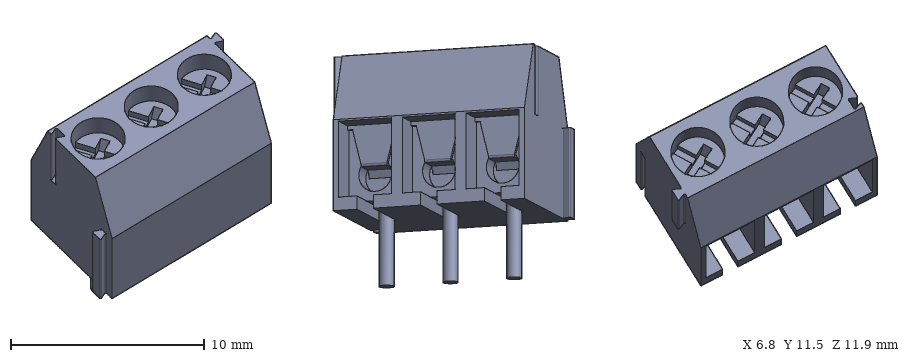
import cadquery as cq
import math


pole_count = 3
pitch = 3.5
body_depth = 6.8
body_length = pole_count * pitch
body_height = 8.4
shoulder_height = 4.8
roof_inset = 1.39

pin_diameter = 0.8
overall_height = 11.9
pin_length = overall_height - body_height
slot_width = 0.9
floor_thickness = 0.7

recess_width = 2.9
recess_depth = 1.6
recess_height = 4.0
wire_hole_diameter = 1.8
wire_hole_depth = 1.1
wire_hole_height = 2.1
leaf_width = 1.43
leaf_thickness = 0.2
leaf_shoulder_width = 2.36
leaf_shoulder_height = 4.49
leaf_lip_height = 0.13
leaf_lip_inset = 0.05
leaf_stop_angle = 25

well_diameter = 2.8
well_depth = 1.2
drive_width = 0.5
drive_depth = 0.4
drive_angle = 30
cross_length = 2.0
cross_end_run = 0.35
cross_depth = 0.6

dovetail_projection = 0.5
dovetail_neck = 0.3
dovetail_tip = 0.74
dovetail_root = 0.18
dovetail_radius = 0.06
dovetail_split_height = 4.74
upper_dovetail_x = -1.55
lower_dovetail_x = 2.7

half_depth = body_depth / 2
half_length = body_length / 2
entry_wall_x = recess_depth - half_depth
leaf_front_x = entry_wall_x - leaf_thickness
recess_top = floor_thickness + recess_height
well_floor_z = body_height - well_depth
pole_positions = [(i - (pole_count - 1) / 2) * pitch for i in range(pole_count)]


def box(x_min, x_max, width, z_min, z_max):
    """Block centred on Y = 0."""
    block = cq.Workplane("XY").box(x_max - x_min, width, z_max - z_min, centered=(False, True, False))
    return block.translate((x_min, 0, z_min))


def cylinder(diameter, z_min, z_max):
    return cq.Workplane("XY").workplane(offset=z_min).circle(diameter / 2).extrude(z_max - z_min)


def extrude_xz(points, width):
    """Prism with an XZ outline, centred on Y = 0."""
    return cq.Workplane("XZ").polyline(points).close().extrude(width / 2, both=True)


def make_housing():
    roof_half = half_depth - roof_inset
    outline = [
        (-half_depth, 0),
        (half_depth, 0),
        (half_depth, shoulder_height),
        (roof_half, body_height),
        (-roof_half, body_height),
        (-half_depth, shoulder_height),
    ]
    return extrude_xz(outline, body_length)


def make_wire_hole():
    """Round blind hole in the entry wall."""
    wall = cq.Workplane("YZ", origin=(entry_wall_x, 0, wire_hole_height))
    return wall.circle(wire_hole_diameter / 2).extrude(wire_hole_depth)


def make_leaf():
    """Leaf standing proud of the entry wall, with a rounded lip and a sloping stop inside the hole."""
    half_leaf = leaf_width / 2
    half_shoulder = leaf_shoulder_width / 2
    half_recess = recess_width / 2
    end_x = entry_wall_x + wire_hole_depth
    lip_top_z = wire_hole_height + math.sqrt((wire_hole_diameter / 2) ** 2 - half_leaf**2)
    lip_z = lip_top_z - leaf_lip_height
    lip_radius = (leaf_lip_height**2 + leaf_lip_inset**2) / (2 * leaf_lip_inset)
    stop_x = end_x - (lip_z - wire_hole_height) * math.tan(math.radians(leaf_stop_angle))
    profile = (
        cq.Workplane("XZ")
        .moveTo(leaf_front_x, recess_top)
        .lineTo(leaf_front_x, lip_top_z)
        .radiusArc((leaf_front_x + leaf_lip_inset, lip_z), -lip_radius)
        .lineTo(stop_x, lip_z)
        .lineTo(end_x, wire_hole_height)
        .lineTo(end_x, recess_top)
        .close()
        .extrude(half_recess, both=True)
    )
    right_side = [
        (half_leaf, wire_hole_height),
        (half_leaf, lip_top_z),
        (half_shoulder, leaf_shoulder_height),
        (half_recess, leaf_shoulder_height),
        (half_recess, recess_top),
    ]
    left_side = [(-y, z) for y, z in reversed(right_side)]
    front = cq.Workplane("YZ", origin=(leaf_front_x, 0, 0)).polyline(right_side + left_side).close()
    return profile.intersect(front.extrude(end_x - leaf_front_x))


def make_pin_slot():
    """Slot through the floor, open at the -X side and rounded around the pin."""
    straight = box(-half_depth, 0, slot_width, 0, floor_thickness)
    return straight.union(cylinder(slot_width, 0, floor_thickness))


def make_drive():
    """Full-width slot crossed by a shorter recess with sloping ends."""
    well = cylinder(well_diameter, well_floor_z - drive_depth, well_floor_z)
    slot = box(-well_diameter / 2, well_diameter / 2, drive_width, well_floor_z - drive_depth, well_floor_z)
    top_half = cross_length / 2
    bottom_half = top_half - cross_end_run
    cross_outline = [
        (-top_half, well_floor_z),
        (top_half, well_floor_z),
        (bottom_half, well_floor_z - cross_depth),
        (-bottom_half, well_floor_z - cross_depth),
    ]
    cross = extrude_xz(cross_outline, drive_width).rotate((0, 0, 0), (0, 0, 1), 90)
    return slot.intersect(well).union(cross).rotate((0, 0, 0), (0, 0, 1), drive_angle)


def make_pole_cavity():
    recess = box(-half_depth, entry_wall_x, recess_width, floor_thickness, recess_top)
    well = cylinder(well_diameter, well_floor_z, body_height)
    entry = recess.union(make_wire_hole()).cut(make_leaf())
    return entry.union(make_pin_slot()).union(well).union(make_drive())


def make_dovetail(x, z_min, z_max):
    """Bar with rounded corners that widens toward -Y from a neck on the plane Y = 0.

    A root block behind the neck gives the neck corners their rounding.
    """
    half_neck = dovetail_neck / 2
    half_tip = dovetail_tip / 2
    outline = [
        (-half_neck, 0),
        (-half_tip, -dovetail_projection),
        (half_tip, -dovetail_projection),
        (half_neck, 0),
        (half_tip, 0),
        (half_tip, dovetail_root),
        (-half_tip, dovetail_root),
        (-half_tip, 0),
    ]
    bar = cq.Workplane("XY").polyline(outline).close().extrude(z_max - z_min)
    return bar.edges("|Z").fillet(dovetail_radius).translate((x, 0, z_min))


result = make_housing()
cavity = make_pole_cavity()
pin = cylinder(pin_diameter, -pin_length, floor_thickness)
for y in pole_positions:
    result = result.cut(cavity.translate((0, y, 0)))
    result = result.union(pin.translate((0, y, 0)))

upper_bar = make_dovetail(upper_dovetail_x, dovetail_split_height, body_height)
lower_bar = make_dovetail(lower_dovetail_x, 0, dovetail_split_height)
result = result.cut(upper_bar.mirror("XZ").translate((0, -half_length, 0)))
result = result.cut(lower_bar.translate((0, half_length, 0)))
result = result.union(upper_bar.mirror("XZ").translate((0, half_length, 0)))
result = result.union(lower_bar.translate((0, -half_length, 0)))